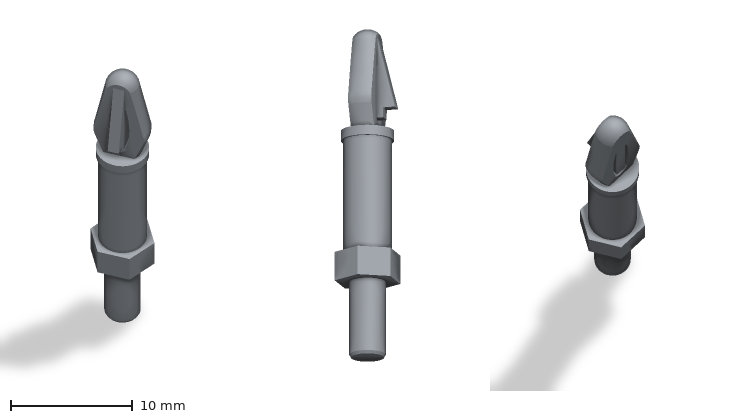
import cadquery as cq
import math

TOTAL_HEIGHT = 27.8
HEX_BOTTOM = 6.4
HEX_TOP = 8.8
COLLAR_BOTTOM = 18.38
COLLAR_TOP = 19.18

PIN_DIAMETER = 3.0
PIN_CHAMFER_HEIGHT = 0.25
PIN_CHAMFER_WIDTH = 0.15
HEX_ACROSS_FLATS = 4.78
BODY_DIAMETER = 4.0
COLLAR_DIAMETER = 4.4

HEAD_THICKNESS = 2.0
NECK_RADIUS = 1.67
BULGE_RADIUS = 2.4
BULGE_EDGE_RADIUS = 2.3
BULGE_BOTTOM = 21.07
BULGE_TOP = 22.1
DOME_RADIUS = 1.4
DOME_BASE = 26.77

SLOT_BOTTOM = 19.65
SLOT_SIDE_BOTTOM = 20.2
SLOT_TOP = 24.63
SLOT_BOTTOM_HALF_WIDTH = 0.72
SLOT_TOP_HALF_WIDTH = 0.65
SLOT_MAX_HALF_WIDTH = 0.92
SLOT_WIDEST_HEIGHT = 22.1

LATCH_WIDTH = 0.95
LATCH_TOP = 26.95
LATCH_STEP_HEIGHT = 21.0
LATCH_BOTTOM = 20.15
LATCH_REACH = 2.5
LATCH_STEP_REACH = 1.5


def cylinder(diameter, bottom, top):
    return cq.Workplane("XY").workplane(offset=bottom).circle(diameter / 2).extrude(top - bottom)


def make_pin():
    radius = PIN_DIAMETER / 2
    profile = (
        cq.Workplane("XZ")
        .lineTo(radius - PIN_CHAMFER_WIDTH, 0)
        .lineTo(radius, PIN_CHAMFER_HEIGHT)
        .lineTo(radius, HEX_BOTTOM)
        .lineTo(0, HEX_BOTTOM)
        .close()
    )
    return profile.revolve(360, (0, 0, 0), (0, 1, 0))


def make_hexagon():
    across_corners = HEX_ACROSS_FLATS / math.cos(math.pi / 6)
    return (
        cq.Workplane("XY")
        .workplane(offset=HEX_BOTTOM)
        .polygon(6, across_corners)
        .extrude(HEX_TOP - HEX_BOTTOM)
    )


def make_head():
    dome_height = TOTAL_HEIGHT - DOME_BASE
    sphere_radius = (DOME_RADIUS**2 + dome_height**2) / (2 * dome_height)
    half_angle = math.asin(DOME_RADIUS / sphere_radius) / 2
    dome_middle = (
        sphere_radius * math.sin(half_angle),
        TOTAL_HEIGHT - sphere_radius * (1 - math.cos(half_angle)),
    )
    bulge_middle = (BULGE_RADIUS, (BULGE_BOTTOM + BULGE_TOP) / 2)
    round_head = (
        cq.Workplane("XZ")
        .moveTo(0, COLLAR_TOP)
        .lineTo(NECK_RADIUS, COLLAR_TOP)
        .lineTo(BULGE_EDGE_RADIUS, BULGE_BOTTOM)
        .threePointArc(bulge_middle, (BULGE_EDGE_RADIUS, BULGE_TOP))
        .lineTo(DOME_RADIUS, DOME_BASE)
        .threePointArc(dome_middle, (0, TOTAL_HEIGHT))
        .close()
        .revolve(360, (0, 0, 0), (0, 1, 0))
    )
    slab = (
        cq.Workplane("XY")
        .workplane(offset=COLLAR_TOP)
        .rect(2 * BULGE_RADIUS, HEAD_THICKNESS)
        .extrude(TOTAL_HEIGHT - COLLAR_TOP)
    )
    return round_head.intersect(slab)


def make_slot():
    return (
        cq.Workplane("XZ")
        .moveTo(-SLOT_BOTTOM_HALF_WIDTH, SLOT_SIDE_BOTTOM)
        .threePointArc((0, SLOT_BOTTOM), (SLOT_BOTTOM_HALF_WIDTH, SLOT_SIDE_BOTTOM))
        .threePointArc((SLOT_MAX_HALF_WIDTH, SLOT_WIDEST_HEIGHT), (SLOT_TOP_HALF_WIDTH, SLOT_TOP))
        .lineTo(-SLOT_TOP_HALF_WIDTH, SLOT_TOP)
        .threePointArc(
            (-SLOT_MAX_HALF_WIDTH, SLOT_WIDEST_HEIGHT), (-SLOT_BOTTOM_HALF_WIDTH, SLOT_SIDE_BOTTOM)
        )
        .close()
        .extrude(HEAD_THICKNESS / 2, both=True)
    )


def make_latch():
    back = HEAD_THICKNESS / 2
    return (
        cq.Workplane("YZ")
        .moveTo(back, LATCH_BOTTOM)
        .lineTo(-LATCH_STEP_REACH, LATCH_BOTTOM)
        .lineTo(-LATCH_STEP_REACH, LATCH_STEP_HEIGHT)
        .lineTo(-LATCH_REACH, LATCH_STEP_HEIGHT)
        .lineTo(-HEAD_THICKNESS / 2, LATCH_TOP)
        .lineTo(back, SLOT_TOP)
        .close()
        .extrude(LATCH_WIDTH / 2, both=True)
    )


body = cylinder(BODY_DIAMETER, HEX_TOP, COLLAR_BOTTOM)
collar = cylinder(COLLAR_DIAMETER, COLLAR_BOTTOM, COLLAR_TOP)
slotted_head = make_head().cut(make_slot())

result = make_pin().union(make_hexagon()).union(body).union(collar).union(slotted_head).union(make_latch())